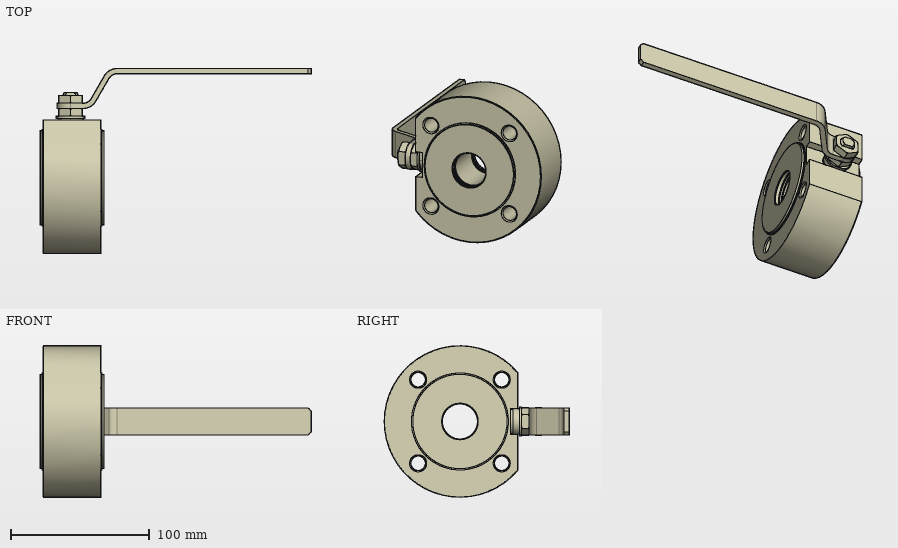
import cadquery as cq
import math


overall_y = 133.2

body_diameter = 109.0
body_back_x = -19.9
body_length = 41.7
body_edge_chamfer = 0.5
flat_y = 41.7

back_face_height = 2.0
front_face_height = 2.3
face_diameter = 67.9
shoulder_height = 0.8
shoulder_diameter = 69.8

bore_diameter = 25.2
bore_chamfer = 0.5
seat_gap_depths = (3.3, 5.5)
seat_gap_width = 0.5
seat_gap_diameter = 26.5

bolt_circle_diameter = 85.0
bolt_hole_diameter = 10.3
bolt_chamfer = 1.0

slot_floor_y = 36.5
slot_width = 18.5
stem_diameter = 18.3
stem_foot_diameter = 18.0
stem_foot_height = 1.5
stop_chamfer = 2.1

washer_diameter = 21.0
washer_bottom_y = 42.7
washer_thickness = 1.5
nut_across_flats = 17.2
lower_nut_height = 5.5
upper_nut_height = 5.7
nut_chamfer = 0.5
tip_base_diameter = 11.3
tip_end_diameter = 9.2
tip_height = 2.1
tip_across_flats = 7.8

handle_width = 19.5
handle_thickness = 3.9
handle_end_x = 173.2
handle_bend_radius = 8.8
handle_bend_angle = 60.0
upper_bend_end_x = 33.5
handle_corner_chamfer = 2.3

body_front_x = body_back_x + body_length
lower_nut_y = washer_bottom_y + washer_thickness
handle_bottom_y = lower_nut_y + lower_nut_height
upper_nut_y = handle_bottom_y + handle_thickness
tip_y = upper_nut_y + upper_nut_height
handle_top_y = overall_y - body_diameter / 2


def disc_x(diameter, start, length):
    """Cylinder along the bore axis."""
    return cq.Workplane("YZ", origin=(start, 0, 0)).circle(diameter / 2).extrude(length)


def disc_y(diameter, start, height):
    """Cylinder along the stem axis, growing towards +Y."""
    return cq.Workplane("XZ", origin=(0, start, 0)).circle(diameter / 2).extrude(-height)


def make_body():
    """Disc with a flat on +Y, a slot across the flat and both sealing faces."""
    body = disc_x(body_diameter, body_back_x, body_length)
    body = body.faces("<X").edges().chamfer(body_edge_chamfer)
    cutter_length = 3 * body_length
    flat_cut = cq.Workplane().box(
        cutter_length, body_diameter, body_diameter, centered=(True, False, True)
    ).translate((0, flat_y, 0))
    slot = cq.Workplane().box(
        cutter_length, body_diameter, slot_width, centered=(True, False, True)
    ).translate((0, slot_floor_y, 0))
    body = body.cut(flat_cut).cut(slot)

    for end_x, rise in ((body_back_x, -back_face_height), (body_front_x, front_face_height)):
        shoulder_rise = math.copysign(shoulder_height, rise)
        body = body.union(disc_x(shoulder_diameter, end_x, shoulder_rise))
        body = body.union(disc_x(face_diameter, end_x, rise))
    return body


def cut_bore(body):
    """Through bore, chamfered at both mouths, with the seat gaps at each end."""
    back_x = body_back_x - back_face_height
    front_x = body_front_x + front_face_height
    body = body.cut(disc_x(bore_diameter, back_x, front_x - back_x))
    smallest_circles = cq.selectors.RadiusNthSelector(0)
    body = body.faces("<X or >X").edges(smallest_circles).chamfer(bore_chamfer)
    for depth in seat_gap_depths:
        body = body.cut(disc_x(seat_gap_diameter, back_x + depth, seat_gap_width))
        body = body.cut(disc_x(seat_gap_diameter, front_x - depth, -seat_gap_width))
    return body


def cut_bolt_holes(body):
    """Four through holes, countersunk at both ends."""
    offset = bolt_circle_diameter / 2 * math.sin(math.radians(45))
    mouth_diameter = bolt_hole_diameter + 2 * bolt_chamfer
    drill = disc_x(bolt_hole_diameter, body_back_x, body_length)
    for end_x, inward in ((body_back_x, 1), (body_front_x, -1)):
        countersink = cq.Solid.makeCone(
            mouth_diameter / 2,
            bolt_hole_diameter / 2,
            bolt_chamfer,
            cq.Vector(end_x, 0, 0),
            cq.Vector(inward, 0, 0),
        )
        drill = drill.union(cq.Workplane(countersink))
    for y in (-offset, offset):
        for z in (-offset, offset):
            body = body.cut(drill.translate((0, y, z)))
    return body


def make_stem():
    """Stem between the slot floor and the washer, with its stop lug."""
    foot = disc_y(stem_foot_diameter, slot_floor_y, stem_foot_height)
    collar_y = slot_floor_y + stem_foot_height
    collar_height = washer_bottom_y - collar_y
    collar = disc_y(stem_diameter, collar_y, collar_height)
    radius = stem_diameter / 2
    lug = cq.Workplane().box(radius, collar_height, radius, centered=False)
    lug = lug.edges("|Y and <X and >Z").chamfer(stop_chamfer)
    return foot.union(collar).union(lug.translate((-radius, collar_y, 0)))


def make_nut(start, height):
    """Hexagon nut with two corners on the Z axis and bevelled corners."""
    across_corners = nut_across_flats / math.cos(math.radians(30))
    nut = (
        cq.Workplane("XZ", origin=(0, start, 0))
        .transformed(rotate=(0, 0, 90))
        .polygon(6, across_corners)
        .extrude(-height)
    )
    return nut.intersect(disc_y(across_corners, start, height).edges().chamfer(nut_chamfer))


def make_tip():
    """Tapered end of the stem with two flats facing +Z and -Z."""
    cone = (
        cq.Workplane("XZ", origin=(0, tip_y, 0))
        .circle(tip_base_diameter / 2)
        .workplane(offset=-tip_height)
        .circle(tip_end_diameter / 2)
        .loft()
    )
    flats = cq.Workplane().box(
        tip_base_diameter, tip_height, tip_across_flats, centered=(True, False, True)
    )
    return cone.intersect(flats.translate((0, tip_y, 0)))


def make_handle():
    """Flat strap cranked outwards by two equal and opposite bends."""
    low_y = handle_bottom_y + handle_thickness / 2
    high_y = handle_top_y - handle_thickness / 2
    angle = math.radians(handle_bend_angle)
    bend_run = handle_bend_radius * math.sin(angle)
    bend_rise = handle_bend_radius * (1 - math.cos(angle))
    ramp_run = (high_y - low_y - 2 * bend_rise) / math.tan(angle)
    ramp_end_x = upper_bend_end_x - bend_run
    ramp_start_x = ramp_end_x - ramp_run
    centre_line = (
        cq.Workplane("XY")
        .moveTo(0, low_y)
        .lineTo(ramp_start_x - bend_run, low_y)
        .tangentArcPoint((ramp_start_x, low_y + bend_rise), relative=False)
        .lineTo(ramp_end_x, high_y - bend_rise)
        .tangentArcPoint((upper_bend_end_x, high_y), relative=False)
        .lineTo(handle_end_x, high_y)
    )
    strap = (
        cq.Workplane("YZ", origin=(0, low_y, 0))
        .rect(handle_thickness, handle_width)
        .sweep(centre_line)
    )
    strap = strap.faces(">X").edges("|Y").chamfer(handle_corner_chamfer)
    return strap.union(disc_y(handle_width, handle_bottom_y, handle_thickness))


result = cut_bolt_holes(cut_bore(make_body()))
result = result.union(make_stem())
result = result.union(disc_y(washer_diameter, washer_bottom_y, washer_thickness))
result = result.union(make_nut(lower_nut_y, lower_nut_height))
result = result.union(make_handle())
result = result.union(make_nut(upper_nut_y, upper_nut_height))
result = result.union(make_tip()).solids()